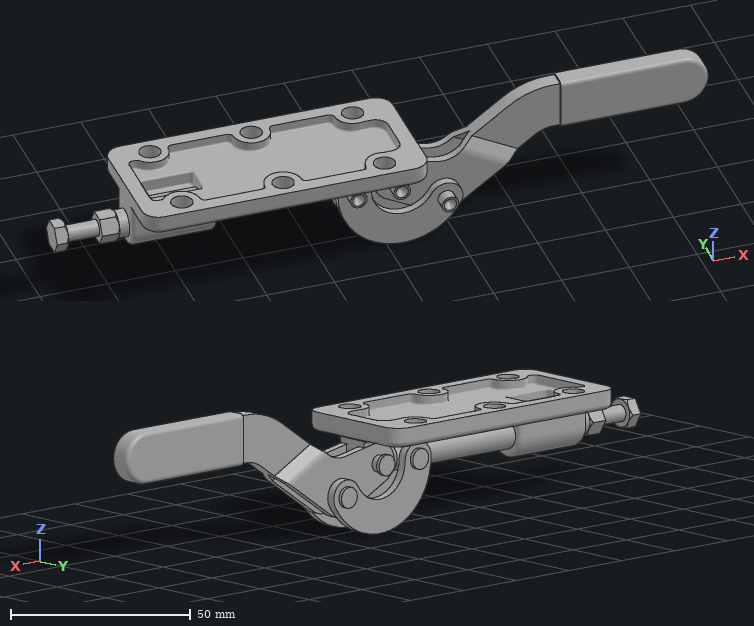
import cadquery as cq
import math


plate_left = 21.6
plate_length = 84.0
plate_width = 38.0
plate_thickness = 5.6
plate_top = 12.5
plate_corner_radius = 5.0
lower_edge_radius = 1.5
plate_bottom = plate_top - plate_thickness
plate_right = plate_left + plate_length
plate_center_x = plate_left + plate_length / 2

hole_diameter = 6.2
hole_spacing_x = 30.0
hole_spacing_y = 27.0

housing_length = 25.3
housing_radius = 6.2
housing_center_z = -0.4
housing_end_radius = 1.4
web_root_radius = 1.2
rib_height = 1.7
rib_width = 9.7
rib_end_gap = 0.5

pocket_depth = 2.9
pocket_left = 26.0
pocket_right = 101.0
pocket_width = 29.5
pocket_left_width = 21.2
pocket_right_width = 16.6
pocket_corner_radius = 3.7
pocket_wall_radius = 1.5
island_radius = 5.5
pocket_floor_radius = 0.5
slot_start = 27.6
slot_end = 43.0
slot_width = 8.7
slot_floor = 5.6
slot_corner_radius = 1.0
slot_edge_radius = 0.5
crown_width = 5.0
crown_height = 0.87

hex_across_flats = 8.1
hex_bevel = 0.68
screw_head_length = 3.7
screw_diameter = 4.8
nut_start = 13.3
nut_length = 5.5
rod_diameter = 8.1
rod_end = 92.7
rod_end_chamfer = 1.0

link_center = (101.3, 0)
link_radius = 14.5
link_width = 9.8
link_end_angle = -30
plunger_pivot = (link_center[0] - link_radius, 0)
lug_pivot = (99.6, 0)


def polar(center, radius, angle):
    """Point at a distance and an angle in degrees from a center."""
    turn = math.radians(angle)
    return (center[0] + radius * math.cos(turn), center[1] + radius * math.sin(turn))


handle_pivot = polar(link_center, link_radius, link_end_angle)

sheet = 2.5
fork_inner = 2.41
fork_outer = fork_inner + sheet
link_outer = fork_outer + sheet

lug_left = 94.2
lug_radius = 5.5

pin_diameter = 4.8
pin_head_diameter = 6.0
pin_back = 8.5
pin_front = 11.0
pin_recess_diameter = 3.7
pin_recess_depth = 2.0

handle_angle = 35
arm_width = 13.7
bend_inner_radius = 9.0
lug_eye_radius = 6.0
handle_eye_radius = 6.2
neck_slope = 10.6
neck_radius = 8.0
joggle_start = (118.5, 5.0)
joggle_angle = 28
joggle_bend = 1.2
joggle_length = 5.2
joggle_bend_radius = 4.2
joggle_reach = 86.9

grip_left = 149.2
grip_right = 193.0
grip_center_z = 13.3
grip_height = 14.9
grip_thickness = 6.8
grip_edge = 1.4


def box(x0, x1, width, z0, z1):
    """Block between two X and two Z places, centered on Y = 0."""
    return cq.Workplane("XY").box(x1 - x0, width, z1 - z0, centered=(False, True, False)).translate((x0, 0, z0))


def rod(x0, x1, diameter):
    return cq.Workplane("YZ", origin=(x0, 0, 0)).circle(diameter / 2).extrude(x1 - x0)


def make_base():
    plate = box(plate_left, plate_right, plate_width, plate_bottom, plate_top)
    plate = plate.edges("|Z").fillet(plate_corner_radius)
    plate = plate.faces("<Z").edges().fillet(lower_edge_radius)
    overlap = plate_thickness / 2
    housing = (
        cq.Workplane("YZ", origin=(plate_left, 0, 0))
        .moveTo(-housing_radius, plate_bottom + overlap)
        .lineTo(-housing_radius, housing_center_z)
        .threePointArc((0, housing_center_z - housing_radius), (housing_radius, housing_center_z))
        .lineTo(housing_radius, plate_bottom + overlap)
        .close()
        .extrude(housing_length)
    )
    housing = housing.faces("<X or >X").edges("not >Z").fillet(housing_end_radius)
    rib_left = plate_left + housing_length / 2
    rib_right = plate_right - rib_end_gap
    rib = box(rib_left, rib_right, rib_width, plate_bottom - rib_height, plate_bottom)
    housing_root = make_web_root(
        plate_left + housing_end_radius, plate_left + housing_length - housing_end_radius, housing_radius
    )
    rib_root = make_web_root(rib_left, rib_right, rib_width / 2)
    roots = housing_root.union(rib_root)
    return plate.union(housing).union(rib).union(roots).union(roots.mirror("XZ"))


def make_web_root(x0, x1, web_side):
    """Hollow round filling the corner between the plate and the +Y side of a web below it."""
    center = (web_side + web_root_radius, plate_bottom - web_root_radius)
    return (
        cq.Workplane("YZ", origin=(x0, 0, 0))
        .moveTo(web_side, center[1])
        .threePointArc(polar(center, web_root_radius, 135), (center[0], plate_bottom))
        .lineTo(web_side, plate_bottom)
        .close()
        .extrude(x1 - x0)
    )


def make_pocket():
    floor = plate_top - pocket_depth
    first_hole_x = plate_center_x - hole_spacing_x
    last_hole_x = plate_center_x + hole_spacing_x
    left = box(pocket_left, plate_center_x, pocket_left_width, floor, plate_top)
    right = box(plate_center_x, pocket_right, pocket_right_width, floor, plate_top)
    middle = box(first_hole_x, last_hole_x, pocket_width, floor, plate_top)
    islands = (
        cq.Workplane("XY", origin=(0, 0, floor))
        .pushPoints(hole_places())
        .circle(island_radius)
        .extrude(pocket_depth)
    )
    pocket = left.union(right).union(middle).cut(islands)
    pocket = pocket.edges("|Z and (not >X)").fillet(pocket_wall_radius)
    pocket = pocket.edges("|Z and >X").fillet(pocket_corner_radius)
    return pocket.faces("<Z").edges().fillet(pocket_floor_radius)


def hole_places():
    return [
        (plate_center_x + i * hole_spacing_x, j * hole_spacing_y / 2)
        for i in (-1, 0, 1)
        for j in (-1, 1)
    ]


def make_holes():
    holes = cq.Workplane("XY", origin=(0, 0, plate_bottom)).pushPoints(hole_places())
    return holes.circle(hole_diameter / 2).extrude(plate_thickness)


def make_slot():
    """Recess above the plunger, with a round crown running along its floor."""
    slot = box(slot_start, slot_end, slot_width, slot_floor, plate_top - pocket_depth)
    slot = slot.edges("|Z").fillet(slot_corner_radius)
    slot = slot.faces("<Z").edges().fillet(slot_edge_radius)
    crown = (
        cq.Workplane("YZ", origin=(slot_start, 0, slot_floor))
        .moveTo(-crown_width / 2, 0)
        .threePointArc((0, crown_height), (crown_width / 2, 0))
        .close()
        .extrude(slot_end - slot_start)
    )
    return slot.cut(crown)


def round_slot_rim(base):
    rim_side = ((slot_start + slot_end) / 2, slot_width / 2, plate_top - pocket_depth)
    return base.edges(cq.selectors.NearestToPointSelector(rim_side)).fillet(slot_edge_radius)


def make_hex(x0, length):
    """Hexagon with corners toward +Y and -Y, beveled on its +X end."""
    corner_diameter = hex_across_flats / math.cos(math.radians(30))
    prism = cq.Workplane("YZ", origin=(x0, 0, 0)).polygon(6, corner_diameter).extrude(length)
    bevel = rod(x0, x0 + length, corner_diameter).faces(">X").chamfer(hex_bevel)
    return prism.intersect(bevel)


def make_plunger():
    nut_end = nut_start + nut_length
    plunger = rod(nut_end, rod_end, rod_diameter).faces(">X").chamfer(rod_end_chamfer)
    plunger = plunger.union(rod(0, nut_end, screw_diameter))
    return plunger.union(make_hex(0, screw_head_length)).union(make_hex(nut_start, nut_length))


def make_lug():
    lug = (
        cq.Workplane("XZ")
        .moveTo(lug_left, plate_bottom)
        .lineTo(lug_left, lug_pivot[1])
        .threePointArc((lug_pivot[0], -lug_radius), (lug_pivot[0] + lug_radius, lug_pivot[1]))
        .lineTo(lug_pivot[0] + lug_radius, plate_bottom)
        .close()
    )
    return lug.extrude(fork_inner, both=True)


def make_links():
    """A pair of C-shaped links curving below the lug pivot."""
    inner = link_radius - link_width / 2
    outer = link_radius + link_width / 2
    middle_angle = (link_end_angle - 180) / 2
    eye = link_width / 2
    front = (
        cq.Workplane("XZ", origin=(0, -fork_outer, 0))
        .moveTo(*polar(link_center, outer, 180))
        .threePointArc(polar(link_center, outer, middle_angle), polar(link_center, outer, link_end_angle))
        .threePointArc(
            polar(handle_pivot, eye, link_end_angle + 90), polar(link_center, inner, link_end_angle)
        )
        .threePointArc(polar(link_center, inner, middle_angle), polar(link_center, inner, 180))
        .threePointArc(polar(plunger_pivot, eye, 90), polar(link_center, outer, 180))
        .close()
        .extrude(sheet)
    )
    return front.union(front.mirror("XZ"))


def make_pin(place):
    """Headed pivot pin along Y, recessed at its -Y end."""
    head_length = pin_back - link_outer
    at_back = cq.Workplane("XZ", origin=(0, pin_back, 0)).center(*place)
    pin = at_back.circle(pin_diameter / 2).extrude(pin_back + pin_front)
    head = at_back.circle(pin_head_diameter / 2).extrude(head_length)
    recess = cq.Workplane(
        cq.Solid.makeCone(
            pin_recess_diameter / 2,
            0,
            pin_recess_depth,
            cq.Vector(place[0], -pin_front, place[1]),
            cq.Vector(0, 1, 0),
        )
    )
    return pin.union(head).cut(recess)


def crossing(normal_a, offset_a, normal_b, offset_b):
    """Point where two lines meet, each given by its unit normal and distance from the origin."""
    det = normal_a[0] * normal_b[1] - normal_a[1] * normal_b[0]
    x = (offset_a * normal_b[1] - offset_b * normal_a[1]) / det
    z = (normal_a[0] * offset_b - normal_b[0] * offset_a) / det
    return (x, z)


def dot(a, b):
    return a[0] * b[0] + a[1] * b[1]


def make_handle_outline():
    """Full-thickness prism of the handle's side shape."""
    up = handle_angle + 90
    arm_normal = polar((0, 0), 1, up)
    bend_outer_radius = bend_inner_radius + arm_width
    bend_z = grip_center_z - arm_width / 2 - bend_inner_radius
    bend_offset = dot(handle_pivot, arm_normal) - handle_eye_radius - bend_inner_radius
    bend = ((bend_offset - bend_z * arm_normal[1]) / arm_normal[0], bend_z)

    neck_normal = polar((0, 0), 1, 90 - neck_slope)
    neck = crossing(
        neck_normal, dot(lug_pivot, neck_normal) + lug_eye_radius, arm_normal, bend_offset + bend_outer_radius
    )

    eye_dx = handle_pivot[0] - lug_pivot[0]
    eye_dz = handle_pivot[1] - lug_pivot[1]
    eye_distance = math.hypot(eye_dx, eye_dz)
    spread = math.degrees(math.asin((handle_eye_radius - lug_eye_radius) / eye_distance))
    under = math.degrees(math.atan2(eye_dz, eye_dx)) - 90 - spread

    arm_end = (grip_left + grip_right) / 2
    mid_turn = handle_angle / 2 + 90
    outline = (
        cq.Workplane("XZ")
        .moveTo(*polar(lug_pivot, lug_eye_radius, 90 - neck_slope))
        .lineTo(*neck)
        .lineTo(*polar(bend, bend_outer_radius, up))
        .threePointArc(polar(bend, bend_outer_radius, mid_turn), polar(bend, bend_outer_radius, 90))
        .lineTo(arm_end, bend_z + bend_outer_radius)
        .lineTo(arm_end, bend_z + bend_inner_radius)
        .lineTo(*polar(bend, bend_inner_radius, 90))
        .threePointArc(polar(bend, bend_inner_radius, mid_turn), polar(bend, bend_inner_radius, up))
        .lineTo(*polar(handle_pivot, handle_eye_radius, up - 180))
        .threePointArc(
            polar(handle_pivot, handle_eye_radius, (up - 180 + under) / 2),
            polar(handle_pivot, handle_eye_radius, under),
        )
        .lineTo(*polar(lug_pivot, lug_eye_radius, under))
        .threePointArc(polar(lug_pivot, lug_eye_radius, 180), polar(lug_pivot, lug_eye_radius, 90 - neck_slope))
        .close()
        .extrude(fork_outer, both=True)
    )
    neck_edge = cq.selectors.NearestToPointSelector((neck[0], 0, neck[1]))
    return outline.edges("|Y").edges(neck_edge).fillet(neck_radius)


def make_joggle():
    """Two sheets lying together along the arm and stepping apart into a fork."""
    turn = math.radians(joggle_angle)
    along = (math.cos(turn), 0, -math.sin(turn))
    across = (math.sin(turn), 0, math.cos(turn))
    plane = cq.Plane(origin=(joggle_start[0], 0, joggle_start[1]), xDir=across, normal=along)
    sheets = cq.Workplane("XY")
    for side in (-1, 1):
        step = (
            cq.Workplane(plane)
            .moveTo(-joggle_reach, side * fork_inner)
            .lineTo(joggle_bend, side * fork_inner)
            .lineTo(joggle_length, 0)
            .lineTo(joggle_reach, 0)
            .lineTo(joggle_reach, side * sheet)
            .lineTo(joggle_length, side * sheet)
            .lineTo(joggle_bend, side * fork_outer)
            .lineTo(-joggle_reach, side * fork_outer)
            .close()
            .extrude(joggle_reach, both=True)
        )
        bend = cq.selectors.NearestToPointSelector(plane.toWorldCoords((joggle_bend, side * fork_outer)))
        sheets = sheets.union(step.edges(bend).fillet(joggle_bend_radius))
    return sheets


def make_grip():
    grip = (
        cq.Workplane("XZ")
        .moveTo(grip_left, grip_center_z - grip_height / 2)
        .lineTo(grip_right - grip_height / 2, grip_center_z - grip_height / 2)
        .threePointArc(
            (grip_right, grip_center_z), (grip_right - grip_height / 2, grip_center_z + grip_height / 2)
        )
        .lineTo(grip_left, grip_center_z + grip_height / 2)
        .close()
        .extrude(grip_thickness / 2, both=True)
    )
    return grip.faces("<Y or >Y").edges("not <X").fillet(grip_edge)


result = make_base().cut(make_pocket()).cut(make_holes()).cut(make_slot())
result = round_slot_rim(result)
result = result.union(make_plunger()).union(make_lug()).union(make_links())
result = result.union(make_handle_outline().intersect(make_joggle())).union(make_grip())
for pivot in (plunger_pivot, lug_pivot, handle_pivot):
    result = result.union(make_pin(pivot))